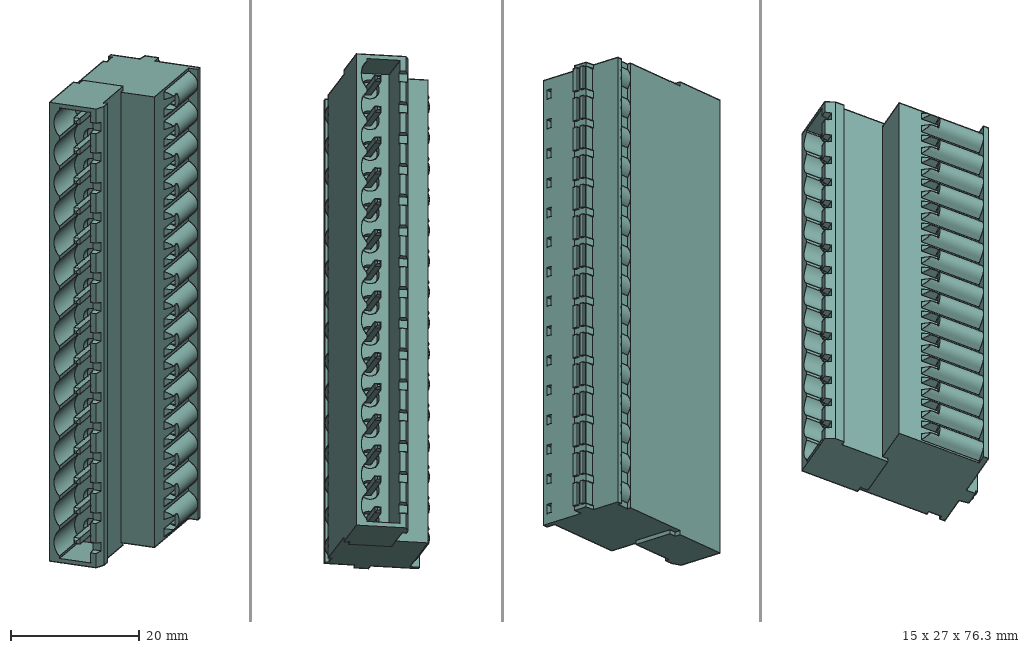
import cadquery as cq
import math

pole_count = 15
pole_span = 69.8
pitch = pole_span / (pole_count - 1)
pole_heights = [i * pitch - pole_span / 2 for i in range(pole_count)]

header_length = 76.3
header_width = 7.85
header_back = 11.1
side_wall_back = 9.8
side_wall = 1.0
end_wall = 0.7

lip_reach = 8.55
lip_slope = 1.5
lip_depth = 3.05

cavity_depth = 8.4
cavity_left = 1.7
cavity_right = 6.95
pole_x = 3.8
scallop_radius = 3.05
notch_depth = 1.0
notch_mouth = 1.75
notch_floor = 1.4

socket_radius = 1.5
socket_depth = 1.5
pin_width = 1.0
pin_tip_width = 0.4
pin_tip_length = 0.6
pin_front = 1.4

plug_length = header_length - 2 * end_wall
plug_width = 13.5
plug_front = 10.15
plug_back = 25.0
overall_width = 15.0
flange_front = 24.1

groove_front = 21.9
groove_depth = 0.6
pad_chord = 3.2

rib_base = 4.3
rib_crown_radius = 2.0
rib_front = 14.05
rib_bevel_x = 14.7
rib_bevel_y = 15.1
rib_top_front = 16.5
bore_width = 1.5
bore_depth = 0.85
bore_mouth = 2.45

tab_height = 3.8
tab_left = 5.1
tab_right = 7.4
tab_back = 27.0
tip_left = 5.35
rail_left = 4.9
rail_back = 26.6
tab_groove_left = 5.95
tab_groove_right = 6.6


def block(x0, x1, y0, y1, height):
    """Box given by its X and Y limits and its height, centred on Z = 0."""
    box = cq.Workplane("XY").box(x1 - x0, y1 - y0, height)
    return box.translate(((x0 + x1) / 2, (y0 + y1) / 2, 0))


def prism(points, height):
    """XY outline extruded along Z, centred on Z = 0."""
    return cq.Workplane("XY").polyline(points).close().extrude(height / 2, both=True)


def at_poles(shape):
    """Copies of a shape built at Z = 0, one per pole."""
    copies = cq.Workplane("XY")
    for z in pole_heights:
        copies.add(shape.translate((0, 0, z)))
    return copies.combine()


def front_plane(y):
    """Plane facing +Y, with its local x along -X and its local y along Z."""
    return cq.Workplane(cq.Plane((pole_x, y, 0), (-1, 0, 0), (0, 1, 0)))


def header():
    outline = [
        (0, 0),
        (header_width, 0),
        (lip_reach, lip_slope),
        (lip_reach, lip_depth),
        (header_width, lip_depth),
        (header_width, header_back),
        (side_wall, header_back),
        (side_wall, side_wall_back),
        (0, side_wall_back),
    ]
    return prism(outline, header_length)


def cavity():
    straight = block(cavity_left, cavity_right, 0, cavity_depth, plug_length)
    scallop = front_plane(0).circle(scallop_radius).extrude(cavity_depth)
    bounds = block(0, cavity_right, 0, cavity_depth, plug_length)
    return straight.union(at_poles(scallop).intersect(bounds))


def notches():
    """Tapered cuts in the front edge of the +X cavity wall, one per pole."""
    notch = (
        cq.Workplane("YZ")
        .workplane(offset=cavity_right)
        .polyline([
            (0, -notch_mouth / 2),
            (notch_depth, -notch_floor / 2),
            (notch_depth, notch_floor / 2),
            (0, notch_mouth / 2),
        ])
        .close()
        .extrude(lip_reach - cavity_right)
    )
    return at_poles(notch)


def sockets():
    return at_poles(front_plane(cavity_depth).circle(socket_radius).extrude(socket_depth))


def pins():
    shank_front = pin_front + pin_tip_length
    tip = (
        front_plane(pin_front)
        .rect(pin_tip_width, pin_tip_width)
        .workplane(offset=pin_tip_length)
        .rect(pin_width, pin_width)
        .loft(combine=True)
    )
    shank_length = cavity_depth + socket_depth - shank_front
    shank = front_plane(shank_front).rect(pin_width, pin_width).extrude(shank_length)
    return at_poles(tip.union(shank))


def plug():
    body = block(0, plug_width, plug_front, plug_back, plug_length)
    side = block(0, side_wall, side_wall_back, plug_front, plug_length)
    flange = block(plug_width, overall_width, flange_front, plug_back, plug_length)
    return body.union(side).union(flange)


def marking_groove():
    """Open-ended groove that leaves a convex round pad at each pole."""
    groove = block(0, groove_depth, groove_front, flange_front, plug_length)
    pad_radius = ((pad_chord / 2) ** 2 + groove_depth ** 2) / (2 * groove_depth)
    pad = (
        cq.Workplane("XZ", origin=(0, groove_front, 0))
        .center(pad_radius, 0)
        .circle(pad_radius)
        .extrude(groove_front - flange_front)
    )
    return groove.cut(at_poles(pad))


def ribs():
    """Tapered ribs with a round crown tangent to the flanks and a bevelled front end."""
    crown_x = overall_width - rib_crown_radius
    base_dx = plug_width - crown_x
    base_dz = rib_base / 2
    base_distance = math.hypot(base_dx, base_dz)
    tangent_angle = math.atan2(base_dz, base_dx) - math.acos(rib_crown_radius / base_distance)
    tangent_x = crown_x + rib_crown_radius * math.cos(tangent_angle)
    tangent_z = rib_crown_radius * math.sin(tangent_angle)
    section = (
        cq.Workplane("XZ", origin=(0, rib_front, 0))
        .polyline([(plug_width, -base_dz), (tangent_x, -tangent_z)])
        .threePointArc((overall_width, 0), (tangent_x, tangent_z))
        .lineTo(plug_width, base_dz)
        .close()
        .extrude(rib_front - flange_front)
    )
    side_outline = prism(
        [
            (plug_width, rib_front),
            (rib_bevel_x, rib_bevel_y),
            (overall_width, rib_top_front),
            (overall_width, flange_front),
            (plug_width, flange_front),
        ],
        rib_base,
    )
    return at_poles(section.intersect(side_outline))


def rib_bores():
    """Through bores along the ribs, each flared open at the bevelled front end."""
    bore = block(plug_width, plug_width + bore_depth, rib_front, plug_back, bore_width)
    mouth = (
        cq.Workplane("XZ", origin=(0, rib_front, 0))
        .polyline([
            (plug_width, -bore_width / 2),
            (overall_width, -bore_mouth / 2),
            (overall_width, bore_mouth / 2),
            (plug_width, bore_width / 2),
        ])
        .close()
        .extrude(rib_front - rib_top_front)
    )
    return at_poles(bore.union(mouth))


def back_tabs():
    rail = prism(
        [
            (rail_left, plug_back),
            (tab_left, rail_back),
            (tab_right, rail_back),
            (tab_right, plug_back),
        ],
        plug_length,
    )
    tab_gap = block(rail_left, tab_left, plug_back, tab_back, tab_height)
    tip = block(tip_left, tab_right, rail_back, tab_back, tab_height)
    tip_groove = block(tab_groove_left, tab_groove_right, rail_back, tab_back, tab_height)
    return rail.cut(at_poles(tab_gap)).union(at_poles(tip.cut(tip_groove)))


result = header().union(plug())
result = result.cut(cavity()).cut(notches()).cut(sockets()).union(pins())
result = result.cut(marking_groove())
result = result.union(ribs()).cut(rib_bores())
result = result.union(back_tabs())